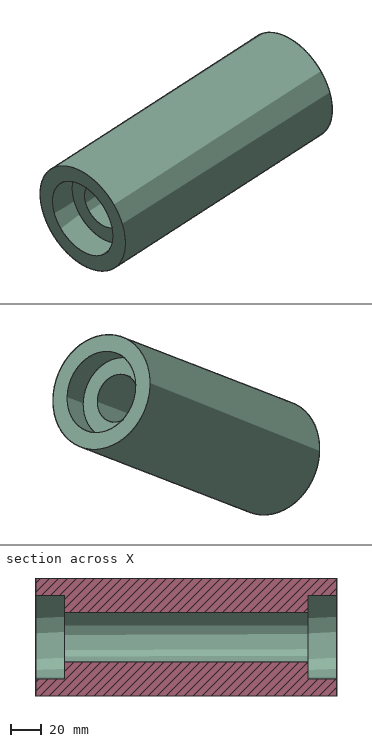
import cadquery as cq

length = 195.0
outer_diameter = 76.2

bore_diameter = 31.8
recess_diameter = 53.8
recess_depth = 18.5


def cylinder_along_y(diameter, start_y, height):
    """Solid cylinder on the Y axis, from start_y towards +Y."""
    plane = cq.Workplane("XZ", origin=(0, start_y, 0))
    return plane.circle(diameter / 2).extrude(-height)


front_y = -length / 2
back_recess_y = length / 2 - recess_depth

result = cylinder_along_y(outer_diameter, front_y, length)
result = result.cut(cylinder_along_y(bore_diameter, front_y, length))
for recess_y in (front_y, back_recess_y):
    result = result.cut(cylinder_along_y(recess_diameter, recess_y, recess_depth))